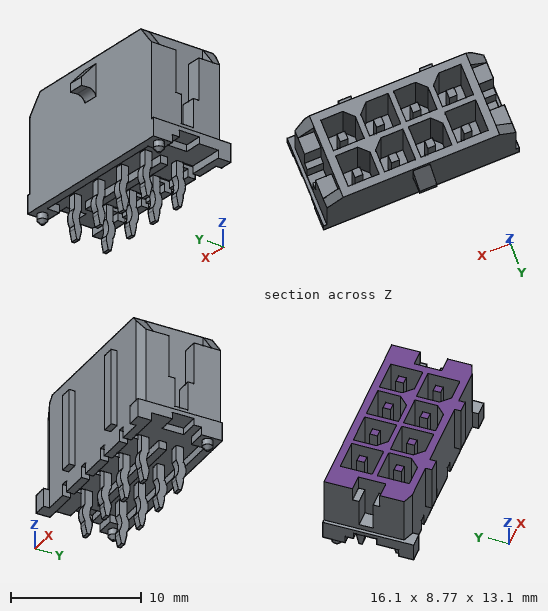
import cadquery as cq
import math


base_length = 16.15
base_height = 1.62
body_length = 15.6
core_length = 12.92
depth = 6.86
height = 9.9
shoulder_height = 8.24
mid_y = depth / 2

front_projection = 0.52
foot_length = 1.21
rib_width = 1.03
rib_top = 8.3
rib_x = 3.35
corner_cut_x = body_length / 2 - (base_length / 2 - foot_length)
corner_cut_y = 0.35

gusset_front = 0.99
gusset_rear = 0.79
upper_slot_width = 2.2
upper_slot_floor = 4.59
lower_slot_width = 1.15
lower_slot_floor = 2.07

columns = 4
rows = 2
pitch = 3.0
cavity_size = 2.55
cavity_floor = base_height
key_chamfer = 0.73
pin_size = 0.65
pin_top = 7.01
column_xs = [(i - (columns - 1) / 2) * pitch for i in range(columns)]
row_ys = [mid_y + (j - (rows - 1) / 2) * pitch for j in range(rows)]
key_sides = [[1, -1, 1, -1], [0, -1, 1, -1]]

bend_top = -0.63
bend_bottom = -2.08
bend_offset = 0.21
taper_top = -2.39
tail_tip = -3.2
tip_width = 0.27

underside = 0.68
wall = 0.7
rear_foot_depth = 1.82
centre_rib_width = 0.68
centre_rib_length = (columns - 1) * pitch + pin_size
end_recess_width = 1.87
end_recess_top = 1.26
notch_width = 0.6
notch_top = 0.99

peg_diameter = 0.84
peg_x = 7.48
peg_y = 5.9
peg_shoulder = 0.52
peg_length = 0.85
peg_tip_diameter = 0.25

latch_width = 1.42
latch_reach = 1.39
latch_ramp_top = 9.3
latch_nose_top = 7.74
latch_nose_bottom = 7.0
latch_crown = 7.04
latch_fillet = 0.75
latch_root_drop = 0.57


def block(x0, x1, y0, y1, z0, z1):
    """Box between two opposite corners."""
    return cq.Workplane("XY").box(x1 - x0, y1 - y0, z1 - z0, centered=False).translate((x0, y0, z0))


def centred_block(length, y0, y1, z0, z1):
    """Box centred on X = 0."""
    return block(-length / 2, length / 2, y0, y1, z0, z1)


def extrude_along_x(profile, length):
    """Extrude a closed YZ profile symmetrically about X = 0."""
    return profile.extrude(length / 2, both=True)


def make_body():
    """Housing with sloped upper ends, cut front corners and slotted end posts."""
    half_body = body_length / 2
    half_core = core_length / 2
    body = (
        cq.Workplane("XZ")
        .polyline([
            (-half_body, 0), (half_body, 0), (half_body, shoulder_height),
            (half_core, height), (-half_core, height), (-half_body, shoulder_height),
        ])
        .close()
        .extrude(-depth)
    )
    for side in (-1, 1):
        corner = (
            cq.Workplane("XY")
            .polyline([
                (side * half_body, 0),
                (side * (half_body - corner_cut_x), 0),
                (side * half_body, corner_cut_y),
            ])
            .close()
            .extrude(height)
        )
        body = body.cut(corner)

    end_cuts = centred_block(base_length, gusset_front, depth - gusset_rear, shoulder_height, height)
    for width, floor in ((upper_slot_width, upper_slot_floor), (lower_slot_width, lower_slot_floor)):
        end_cuts = end_cuts.union(
            centred_block(base_length, mid_y - width / 2, mid_y + width / 2, floor, height)
        )
    core = centred_block(core_length, 0, depth, 0, height)
    return body.cut(end_cuts.cut(core))


def make_base_ends():
    """Wider base blocks at both ends, with feet standing proud of the front wall."""
    x_outer = base_length / 2
    x_inner = x_outer - foot_length
    left = block(-x_outer, -x_inner, -front_projection, depth, 0, base_height)
    return left.union(left.mirror("YZ"))


def make_front_ribs():
    ribs = cq.Workplane("XY")
    for x in (-rib_x, rib_x):
        ribs = ribs.union(
            block(x - rib_width / 2, x + rib_width / 2, -front_projection, wall, base_height, rib_top)
        )
    return ribs


def make_latch():
    """Ramped rear latch with a rounded underside running into the wall."""
    nose_y = depth + latch_reach
    arc_start_y = depth + latch_fillet
    arc_radius = (latch_fillet**2 + latch_root_drop**2) / (2 * latch_root_drop)
    half_angle = math.asin(latch_fillet / arc_radius) / 2
    arc_mid = (
        arc_start_y - arc_radius * math.sin(half_angle),
        latch_crown - arc_radius * (1 - math.cos(half_angle)),
    )
    profile = (
        cq.Workplane("YZ")
        .moveTo(depth - wall / 2, latch_ramp_top)
        .lineTo(depth, latch_ramp_top)
        .lineTo(nose_y, latch_nose_top)
        .lineTo(nose_y, latch_nose_bottom)
        .lineTo(arc_start_y, latch_crown)
        .threePointArc(arc_mid, (depth, latch_crown - latch_root_drop))
        .lineTo(depth - wall / 2, latch_crown - latch_root_drop)
        .close()
    )
    return extrude_along_x(profile, latch_width)


def make_cavity(x, y, key_side):
    """Square contact cavity with one front corner cut off as a key."""
    half = cavity_size / 2
    cavity = block(x - half, x + half, y - half, y + half, cavity_floor, height)
    if key_side:
        corner_x = x + key_side * half
        corner_y = y - half
        key = (
            cq.Workplane("XY")
            .workplane(offset=cavity_floor)
            .polyline([
                (corner_x, corner_y),
                (corner_x - key_side * key_chamfer, corner_y),
                (corner_x, corner_y + key_chamfer),
            ])
            .close()
            .extrude(height - cavity_floor)
        )
        cavity = cavity.cut(key)
    return cavity


def make_pin(x, y, bow):
    """Contact with a solder tail bowed along Y (bow = -1 or 1) and a tapered tip."""
    half = pin_size / 2
    bend_mid = (bend_top + bend_bottom) / 2
    shift = bow * bend_offset
    profile = (
        cq.Workplane("YZ")
        .moveTo(y - half, pin_top)
        .lineTo(y - half, bend_top)
        .threePointArc((y - half + shift, bend_mid), (y - half, bend_bottom))
        .lineTo(y - half, taper_top)
        .lineTo(y - tip_width / 2, tail_tip)
        .lineTo(y + tip_width / 2, tail_tip)
        .lineTo(y + half, taper_top)
        .lineTo(y + half, bend_bottom)
        .threePointArc((y + half + shift, bend_mid), (y + half, bend_top))
        .lineTo(y + half, pin_top)
        .close()
    )
    return extrude_along_x(profile, pin_size).translate((x, 0, 0))


def make_underside_cuts():
    """Clearance under the housing, leaving the outer walls, feet and a centre rib."""
    cuts = centred_block(base_length, wall, depth - rear_foot_depth, 0, underside)
    cuts = cuts.union(centred_block(core_length, wall, depth - wall, 0, underside))
    cuts = cuts.cut(
        centred_block(
            centre_rib_length, mid_y - centre_rib_width / 2, mid_y + centre_rib_width / 2, 0, underside
        )
    )
    end_recess = centred_block(
        base_length, mid_y - end_recess_width / 2, mid_y + end_recess_width / 2, 0, end_recess_top
    ).cut(centred_block(core_length, 0, depth, 0, end_recess_top))
    cuts = cuts.union(end_recess)
    front_pin_face = row_ys[0] - pin_size / 2
    for x in column_xs:
        cuts = cuts.union(block(x - notch_width / 2, x + notch_width / 2, 0, front_pin_face, 0, notch_top))
    return cuts


def make_pegs():
    """Two round board pegs with conical tips."""
    pegs = cq.Workplane("XY")
    for x in (-peg_x, peg_x):
        peg = (
            cq.Workplane("XZ")
            .polyline([
                (0, wall / 2), (peg_diameter / 2, wall / 2), (peg_diameter / 2, -peg_shoulder),
                (peg_tip_diameter / 2, -peg_length), (0, -peg_length),
            ])
            .close()
            .revolve(360, (0, 0), (0, 1))
            .translate((x, peg_y, 0))
        )
        pegs = pegs.union(peg)
    return pegs


result = make_body().union(make_base_ends()).union(make_front_ribs()).union(make_latch())
result = result.cut(make_underside_cuts())

for row, y in enumerate(row_ys):
    for column, x in enumerate(column_xs):
        result = result.cut(make_cavity(x, y, key_sides[row][column]))

for y in row_ys:
    tail_bow = math.copysign(1, y - mid_y)
    for x in column_xs:
        result = result.union(make_pin(x, y, tail_bow))

result = result.union(make_pegs())